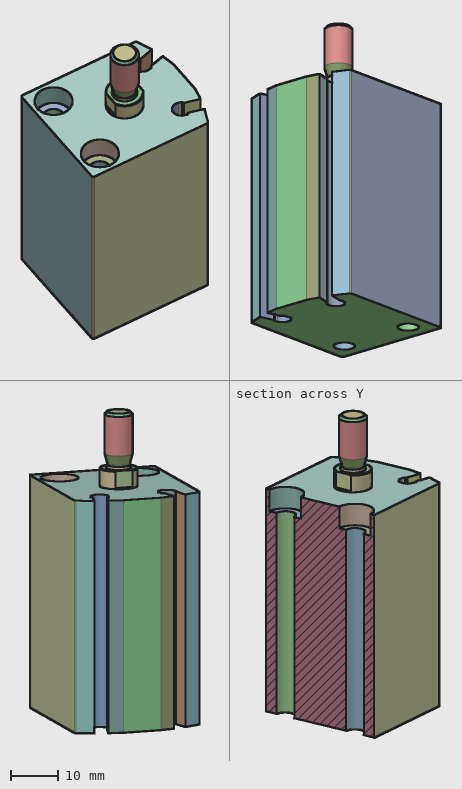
import cadquery as cq

housing_width = 28.0
housing_depth = 32.0
housing_height = 50.0
back_y = 15.0
front_y = back_y - housing_depth
shoulder_drop = 3.05
ear_tip_x = 10.15
ear_tip_drop = 1.45
crown_bend_x = 7.2
crown_bend_drop = 0.6
crown_flat_x = 4.2
edge_radius = 0.45

slot_x = 7.5
slot_y = 9.3
slot_bottom_diameter = 3.75
slot_shoulder = 0.8
slot_width = 3.0
slot_tilt = 15.0
slot_length = 9.9

mount_x = 9.0
mount_y = front_y + 5.0
mount_diameter = 4.5
counterbore_diameter = 8.0
counterbore_depth = 4.8

total_height = 66.0
collar_diameter = 8.0
collar_height = 3.9
collar_chamfer = 0.1
across_flats = 7.0
flat_lift = 0.25
flare_diameter = 5.4
flare_height = 0.6
neck_diameter = 4.8
neck_height = 0.3
cone_height = 2.1
thread_diameter = 6.0
thread_chamfer = 0.6


def make_outline():
    half_width = housing_width / 2
    crown = [
        (-half_width, back_y - shoulder_drop),
        (-ear_tip_x, back_y - ear_tip_drop),
        (-crown_bend_x, back_y - crown_bend_drop),
        (-crown_flat_x, back_y),
        (crown_flat_x, back_y),
        (crown_bend_x, back_y - crown_bend_drop),
        (ear_tip_x, back_y - ear_tip_drop),
        (half_width, back_y - shoulder_drop),
    ]
    base = [(half_width, front_y), (-half_width, front_y)]
    return cq.Workplane("XY").polyline(crown + base).close()


def make_slot(side):
    """Keyhole groove cutter; side is -1 for the left slot and +1 for the right one."""
    bottom = cq.Workplane("XY").circle(slot_bottom_diameter / 2).extrude(housing_height)
    widening = (
        cq.Workplane("XY")
        .center(0, slot_shoulder / 2)
        .rect(slot_bottom_diameter, slot_shoulder)
        .extrude(housing_height)
    )
    throat = (
        cq.Workplane("XY")
        .center(0, slot_length / 2)
        .rect(slot_width, slot_length)
        .extrude(housing_height)
    )
    keyhole = bottom.union(widening).union(throat)
    leaned = keyhole.rotate((0, 0, 0), (0, 0, 1), -side * slot_tilt)
    return leaned.translate((side * slot_x, slot_y, 0))


def make_housing():
    block = make_outline().extrude(housing_height)
    block = block.edges("|Z and (<X or >X)").fillet(edge_radius)
    for side in (-1, 1):
        block = block.cut(make_slot(side))
    return (
        block.faces(">Z")
        .workplane(origin=(0, 0, housing_height))
        .pushPoints([(-mount_x, mount_y), (mount_x, mount_y)])
        .cboreHole(mount_diameter, counterbore_diameter, counterbore_depth)
    )


def make_rod():
    """Turned stud standing on the housing, with two wrench flats on its collar."""
    collar_radius = collar_diameter / 2
    thread_radius = thread_diameter / 2
    collar_top = housing_height + collar_height
    neck_bottom = collar_top + flare_height
    neck_top = neck_bottom + neck_height
    profile = [
        (0, housing_height),
        (collar_radius, housing_height),
        (collar_radius, collar_top - collar_chamfer),
        (collar_radius - collar_chamfer, collar_top),
        (flare_diameter / 2, collar_top),
        (neck_diameter / 2, neck_bottom),
        (neck_diameter / 2, neck_top),
        (thread_radius, neck_top + cone_height),
        (thread_radius, total_height - thread_chamfer),
        (thread_radius - thread_chamfer, total_height),
        (0, total_height),
    ]
    rod = cq.Workplane("XZ").polyline(profile).close().revolve(360, (0, 0, 0), (0, 1, 0))

    flat_depth = (collar_diameter - across_flats) / 2
    for side in (-1, 1):
        flat_center_y = side * (across_flats + flat_depth) / 2
        flat_cutter = (
            cq.Workplane("XY", origin=(0, flat_center_y, housing_height + flat_lift))
            .rect(collar_diameter, flat_depth)
            .extrude(collar_height)
        )
        rod = rod.cut(flat_cutter)
    return rod


housing = make_housing()
rod = make_rod()
result = cq.Compound.makeCompound([housing.val(), rod.val()])